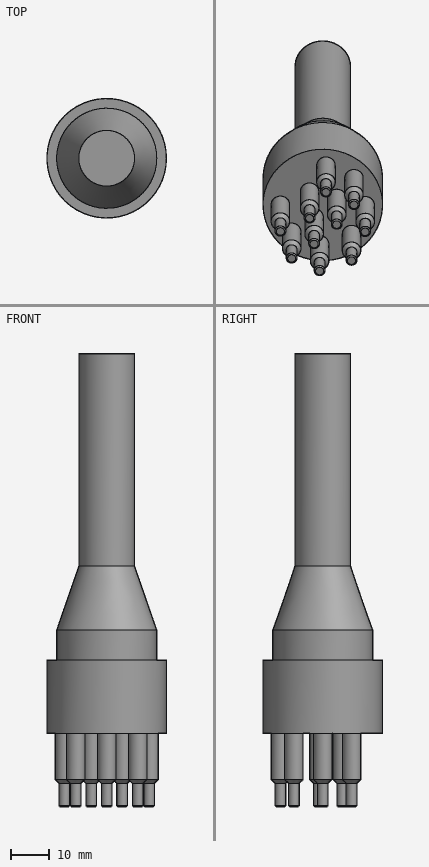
import cadquery as cq
import math

total_length = 117.5
collar_diameter = 31.0
collar_length = 19.0
neck_diameter = 26.0
neck_length = 7.8
taper_length = 16.6
cable_diameter = 14.5

pin_length = 19.0
sleeve_diameter = 4.8
tip_diameter = 2.8
tip_length = 6.1
tip_chamfer = 0.4
sleeve_taper = (sleeve_diameter - tip_diameter) / 2

ring_diameter = 22.0
diagonal_angle = 43.0

inner_single_y = 5.0
inner_pair_x = 4.0
inner_pair_y = -1.0

collar_bottom = pin_length
collar_top = collar_bottom + collar_length
neck_top = collar_top + neck_length
taper_top = neck_top + taper_length


def make_body():
    """Collar, neck, conical strain relief and cable as one turned shape."""
    return (
        cq.Workplane("XZ")
        .moveTo(0, collar_bottom)
        .lineTo(collar_diameter / 2, collar_bottom)
        .lineTo(collar_diameter / 2, collar_top)
        .lineTo(neck_diameter / 2, collar_top)
        .lineTo(neck_diameter / 2, neck_top)
        .lineTo(cable_diameter / 2, taper_top)
        .lineTo(cable_diameter / 2, total_length)
        .lineTo(0, total_length)
        .close()
        .revolve(360, (0, 0), (0, 1))
    )


def make_pin():
    """One pin on the Z axis, its chamfered tip at Z = 0."""
    sleeve_bottom = tip_length + sleeve_taper
    return (
        cq.Workplane("XZ")
        .lineTo(tip_diameter / 2 - tip_chamfer, 0)
        .lineTo(tip_diameter / 2, tip_chamfer)
        .lineTo(tip_diameter / 2, tip_length)
        .lineTo(sleeve_diameter / 2, sleeve_bottom)
        .lineTo(sleeve_diameter / 2, pin_length)
        .lineTo(0, pin_length)
        .close()
        .revolve(360, (0, 0), (0, 1))
    )


def pin_positions():
    """XY centres of the outer ring followed by the inner group."""
    ring_radius = ring_diameter / 2
    ring = [(-ring_radius, 0), (ring_radius, 0), (0, -ring_radius)]
    diagonal_x = ring_radius * math.cos(math.radians(diagonal_angle))
    diagonal_y = ring_radius * math.sin(math.radians(diagonal_angle))
    for x_side in (-1, 1):
        for y_side in (-1, 1):
            ring.append((x_side * diagonal_x, y_side * diagonal_y))
    inner = [
        (0, inner_single_y),
        (-inner_pair_x, inner_pair_y),
        (inner_pair_x, inner_pair_y),
    ]
    return ring + inner


result = make_body()
pin = make_pin()
for x, y in pin_positions():
    result = result.union(pin.translate((x, y, 0)))